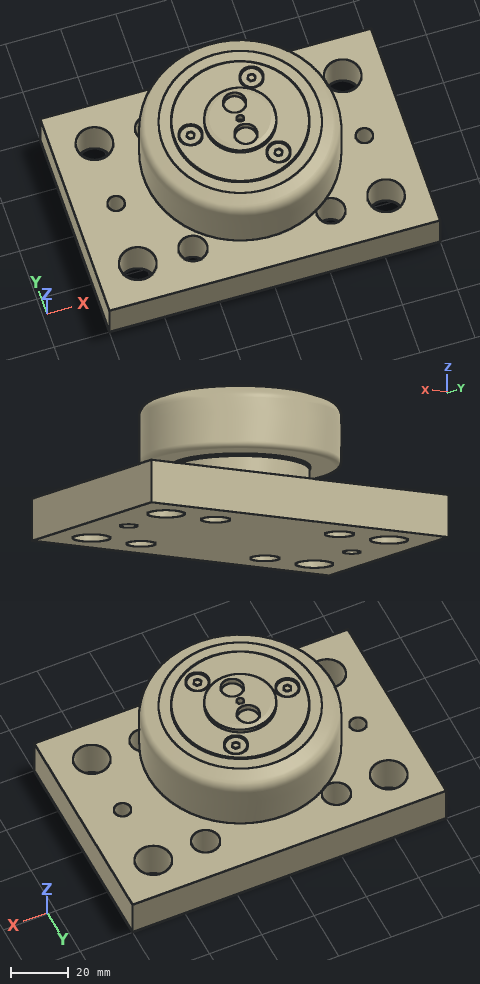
import cadquery as cq
import math

PLATE_LENGTH = 120.0
PLATE_WIDTH = 80.0
PLATE_THICKNESS = 15.0
CORNER_HOLE_DIAMETER = 13.0
CORNER_HOLE_SPACING = (90.0, 50.0)
INNER_HOLE_DIAMETER = 10.11
INNER_HOLE_SPACING = (50.0, 50.0)
DOWEL_HOLE_DIAMETER = 6.0
DOWEL_HOLE_SPACING = 90.0

HUB_DIAMETER = 48.0
HUB_TOP = 49.0
HUB_EDGE_CHAMFER = 0.2
PIN_DIAMETER = 25.0
PIN_TOP = 51.0
PIN_CHAMFER_WIDTH = 1.8
PIN_CHAMFER_HEIGHT = 0.5

STEM_TOP = 25.0
STEM_EDGE_CHAMFER = 0.5
SEAL_RING_DIAMETER = 48.5

ROLLER_EDGE_DIAMETER = 70.0
ROLLER_CROWN_RADIUS = 500.0
ROLLER_BOTTOM = 25.4
ROLLER_TOP = 48.45
ROLLER_LOWER_FILLET = 2.1
ROLLER_SHOULDER_RADIUS = 4.0
ROLLER_SHOULDER_BOTTOM = 43.2
ROLLER_CONE_ANGLE = math.radians(20.0)

SPANNER_HOLE_DIAMETER = 8.0
SPANNER_HOLE_SPACING = 13.0
SPANNER_HOLE_DEPTH = 2.5
CENTRE_HOLE_DIAMETER = 2.5
CENTRE_HOLE_DEPTH = 3.0

SCREW_COUNT = 3
SCREW_CIRCLE_RADIUS = 18.0
SCREW_FIRST_ANGLE = 60.0
SCREW_RECESS_DIAMETER = 8.3
SCREW_HEAD_DIAMETER = 7.8
SCREW_HEAD_SINK = 0.3
SCREW_GAP_DEPTH = 0.3
SOCKET_ACROSS_FLATS = 2.5
SOCKET_DEPTH = 0.3


def make_plate():
    plate = cq.Workplane("XY").box(
        PLATE_LENGTH, PLATE_WIDTH, PLATE_THICKNESS, centered=(True, True, False)
    )
    top = plate.faces(">Z").workplane()
    plate = top.rarray(*CORNER_HOLE_SPACING, 2, 2).hole(CORNER_HOLE_DIAMETER)
    top = plate.faces(">Z").workplane()
    plate = top.rarray(*INNER_HOLE_SPACING, 2, 2).hole(INNER_HOLE_DIAMETER)
    top = plate.faces(">Z").workplane()
    return top.rarray(DOWEL_HOLE_SPACING, 1, 2, 1).hole(DOWEL_HOLE_DIAMETER)


def cylinder(diameter, bottom, top):
    return cq.Workplane("XY").workplane(offset=bottom).circle(diameter / 2).extrude(top - bottom)


def make_hub():
    stem = cylinder(HUB_DIAMETER, PLATE_THICKNESS, STEM_TOP)
    stem = stem.faces("<Z or >Z").chamfer(STEM_EDGE_CHAMFER)
    seal_ring = cylinder(SEAL_RING_DIAMETER, STEM_TOP, ROLLER_BOTTOM)
    hub = cylinder(HUB_DIAMETER, ROLLER_BOTTOM, HUB_TOP)
    hub = hub.faces(">Z").chamfer(HUB_EDGE_CHAMFER)
    pin = cylinder(PIN_DIAMETER, HUB_TOP, PIN_TOP)
    pin = pin.faces(">Z").chamfer(PIN_CHAMFER_HEIGHT, PIN_CHAMFER_WIDTH)
    return stem.union(seal_ring).union(hub).union(pin)


def make_roller():
    """Revolved tyre: lower fillet, slightly crowned tread, then a shoulder arc running into a flat cone."""
    radius = ROLLER_EDGE_DIAMETER / 2
    arc_centre_r = radius - ROLLER_SHOULDER_RADIUS

    def shoulder_point(angle):
        return (
            arc_centre_r + ROLLER_SHOULDER_RADIUS * math.cos(angle),
            ROLLER_SHOULDER_BOTTOM + ROLLER_SHOULDER_RADIUS * math.sin(angle),
        )

    arc_sweep = math.pi / 2 - ROLLER_CONE_ANGLE
    cone_start_r, cone_start_z = shoulder_point(arc_sweep)
    cone_end_r = cone_start_r - (ROLLER_TOP - cone_start_z) / math.tan(ROLLER_CONE_ANGLE)
    tread_bottom = ROLLER_BOTTOM + ROLLER_LOWER_FILLET
    profile = (
        cq.Workplane("XZ")
        .moveTo(0, ROLLER_BOTTOM)
        .lineTo(radius - ROLLER_LOWER_FILLET, ROLLER_BOTTOM)
        .radiusArc((radius, tread_bottom), -ROLLER_LOWER_FILLET)
        .radiusArc(shoulder_point(0), -ROLLER_CROWN_RADIUS)
        .threePointArc(shoulder_point(arc_sweep / 2), (cone_start_r, cone_start_z))
        .lineTo(cone_end_r, ROLLER_TOP)
        .lineTo(0, ROLLER_TOP)
        .close()
    )
    return profile.revolve(360, (0, 0, 0), (0, 1, 0))


def make_pin_holes():
    top = cq.Workplane("XY").workplane(offset=PIN_TOP)
    centre_hole = top.circle(CENTRE_HOLE_DIAMETER / 2).extrude(-CENTRE_HOLE_DEPTH)
    spanner_holes = (
        top.rarray(1, SPANNER_HOLE_SPACING, 1, 2)
        .circle(SPANNER_HOLE_DIAMETER / 2)
        .extrude(-SPANNER_HOLE_DEPTH)
    )
    return spanner_holes.union(centre_hole)


def make_screw_cuts():
    """Recess above each sunk screw head, the ring gap around the head, and its hexagon socket."""

    def screw_centres(height):
        return cq.Workplane("XY").workplane(offset=height).polarArray(
            SCREW_CIRCLE_RADIUS, SCREW_FIRST_ANGLE, 360, SCREW_COUNT, rotate=False
        )

    head_top = HUB_TOP - SCREW_HEAD_SINK
    recess_radius = SCREW_RECESS_DIAMETER / 2
    recesses = screw_centres(HUB_TOP).circle(recess_radius).extrude(-SCREW_HEAD_SINK)
    gaps = (
        screw_centres(head_top)
        .circle(recess_radius)
        .circle(SCREW_HEAD_DIAMETER / 2)
        .extrude(-SCREW_GAP_DEPTH)
    )
    socket_across_corners = SOCKET_ACROSS_FLATS / math.cos(math.pi / 6)
    sockets = screw_centres(head_top).polygon(6, socket_across_corners).extrude(-SOCKET_DEPTH)
    return recesses.union(gaps).union(sockets)


body = make_plate().union(make_hub()).union(make_roller())
result = body.cut(make_pin_holes()).cut(make_screw_cuts())